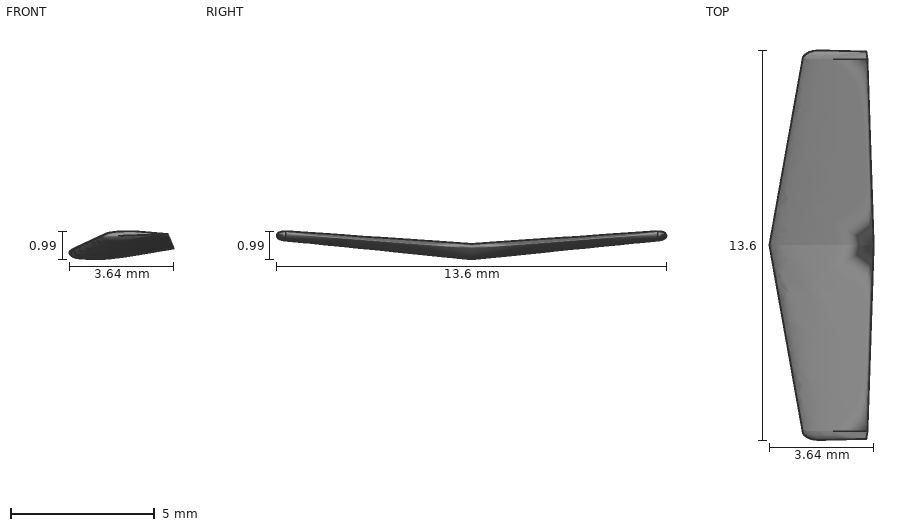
import cadquery as cq
import math

half_span = 6.78
root_chord = 3.64
cap_length = 0.31
tip_station = half_span - cap_length
tip_chord = 2.27
tip_sweep = 1.15
tip_rise = 0.65

cap_nose_setback = 0.57
cap_tail_setback = 0.04
rim_tail_drop = 0.04
rim_thickness_ratio = 0.06
cap_angles = (30, 55, 75, 90)

nose = (0.0, 0.23)
tail = (root_chord, 0.38)
upper_points = [(2.31, 0.509), (1.22, 0.54), (0.47, 0.47), (0.11, 0.35)]
lower_points = [(0.1, 0.11), (0.41, 0.03), (0.85, 0.0), (1.63, 0.05), (2.44, 0.17)]
airfoil_points = [tail] + upper_points + [nose] + lower_points + [tail]

chord_slope = (tail[1] - nose[1]) / root_chord
tip_scale = tip_chord / root_chord
tip_nose_z = tip_rise + nose[1] * tip_scale


def airfoil(station, nose_x, nose_z, chord, thickness_scale, tail_drop=0.0):
    """Closed airfoil wire; chord and thickness about the chord line scale separately."""
    chord_scale = chord / root_chord
    points = []
    for x, z in airfoil_points:
        height = z - nose[1] - chord_slope * x
        point_y = station - tail_drop * x / root_chord
        point_z = nose_z + chord_slope * chord_scale * x + thickness_scale * height
        points.append(cq.Vector(nose_x + chord_scale * x, point_y, point_z))
    return cq.Wire.assembleEdges([cq.Edge.makeSpline(points)])


def tip_airfoil():
    return airfoil(tip_station, tip_sweep, tip_nose_z, tip_chord, tip_scale)


def wing_half():
    root = airfoil(0, nose[0], nose[1], root_chord, 1)
    return cq.Solid.makeLoft([root, tip_airfoil()], True)


def tip_cap():
    """Elliptical run-out in chord and thickness from the tip section to the rim."""
    sections = [tip_airfoil()]
    for angle in cap_angles:
        outward = math.sin(math.radians(angle))
        shrink = 1 - math.cos(math.radians(angle))
        nose_setback = cap_nose_setback * shrink
        thickness_ratio = 1 - (1 - rim_thickness_ratio) * shrink
        section = airfoil(
            station=tip_station + cap_length * outward,
            nose_x=tip_sweep + nose_setback,
            nose_z=tip_nose_z + chord_slope * nose_setback,
            chord=tip_chord - nose_setback - cap_tail_setback * outward,
            thickness_scale=tip_scale * thickness_ratio,
            tail_drop=rim_tail_drop * outward,
        )
        sections.append(section)
    return cq.Solid.makeLoft(sections, False)


capped_half = cq.Workplane(wing_half()).union(cq.Workplane(tip_cap()))
result = capped_half.union(capped_half.mirror("XZ"))